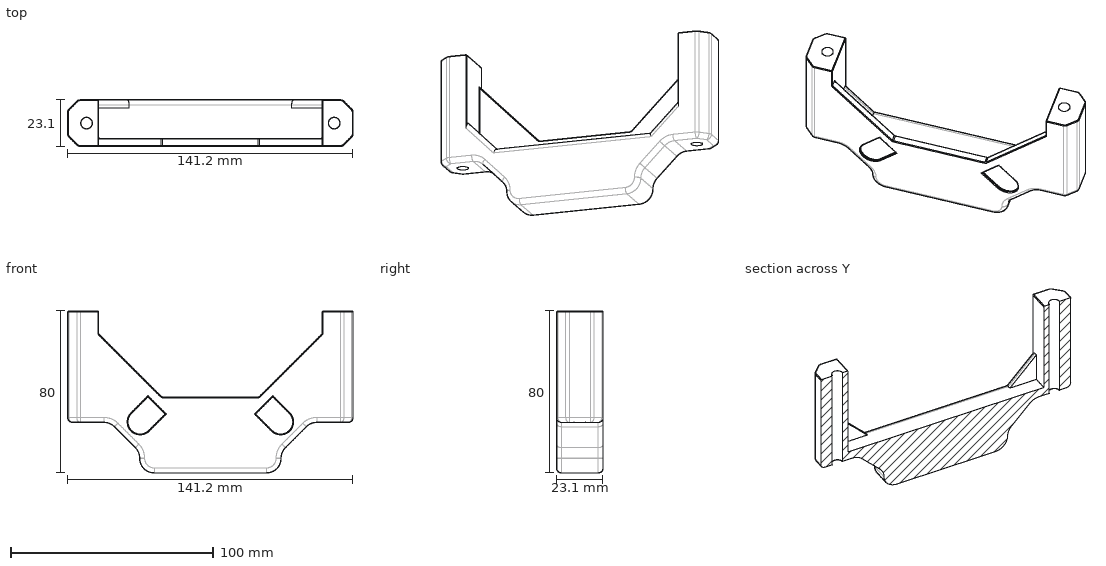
import cadquery as cq
length = 141.2
depth = 23.1
height = 80.0
half_length = length / 2
half_depth = depth / 2

post_width = 15.4
post_base_z = 25.0
post_corner_chamfer = 5.3
post_inner_x = half_length - post_width
hole_diameter = 5.6
hole_x = 61.2

belly_half_width = 35.0
belly_slope_start_x = 49.6
belly_slope_end_z = post_base_z - (belly_slope_start_x - belly_half_width)
belly_radius = 7.3
edge_radius = 2.5

channel_width = 15.0
channel_floor_z = 30.0
rib_run = 15.0
rib_inner_x = post_inner_x - rib_run
rib_top_z = channel_floor_z + rib_run

wall_thickness = (depth - channel_width) / 2
wall_top_z = 37.6
wall_inner_x = 24.0
wall_end_z = wall_top_z + post_inner_x - wall_inner_x
edge_chamfer = 0.4

plug_width = 12.0
plug_straight = 11.5
plug_tilt = 45
plug_end_x = 26.6
plug_end_z = 33.4
plug_recess = 1.0
slot_depth = 3.0
slot_chamfer = 0.4

reach = 1.0


def mirrored(right_half):
    """Close a half outline with its mirror image in X."""
    return right_half + [(-x, z) for x, z in reversed(right_half)]


def edges_between(body, lower, upper, direction=None):
    """Edges, optionally of one direction, whose centres lie in a box."""
    box = cq.selectors.BoxSelector(lower, upper)
    return body.edges(direction).edges(box)


def make_base():
    """Posts, belly and ribs as one profile, with rounded outer edges and no front wall."""
    outline = mirrored([
        (rib_inner_x, channel_floor_z),
        (post_inner_x, rib_top_z),
        (post_inner_x, height),
        (half_length, height),
        (half_length, post_base_z),
        (belly_slope_start_x, post_base_z),
        (belly_half_width, belly_slope_end_z),
        (belly_half_width, 0),
    ])
    base = cq.Workplane("XZ").polyline(outline).close().extrude(half_depth, both=True)

    belly_x = belly_slope_start_x + reach
    belly_edges = edges_between(
        base, (-belly_x, -reach, -reach), (belly_x, reach, post_base_z + reach), "|Y"
    )
    base = belly_edges.fillet(belly_radius)

    base = base.edges("|Z").edges("<X or >X").chamfer(post_corner_chamfer)
    blend_x = half_length - post_corner_chamfer - reach
    for side in (-1, 1):
        corner_edges = edges_between(
            base, (side * blend_x, -depth, post_base_z), (side * length, depth, height), "|Z"
        )
        base = corner_edges.fillet(edge_radius)

    base = base.faces("<Z").edges("<Y or >Y").fillet(edge_radius)

    rib_edges = edges_between(
        base,
        (-post_inner_x + reach, half_depth - reach, channel_floor_z - reach),
        (post_inner_x - reach, half_depth + reach, rib_top_z),
    )
    return rib_edges.fillet(edge_radius)


def make_channel():
    return cq.Workplane("XY", origin=(0, 0, channel_floor_z)).box(
        2 * post_inner_x, channel_width, height, centered=(True, True, False)
    )


def make_wall():
    outline = mirrored([
        (wall_inner_x, wall_top_z),
        (post_inner_x, wall_end_z),
        (post_inner_x, channel_floor_z),
    ])
    plane = cq.Workplane("XZ", origin=(0, -half_depth, 0))
    wall = plane.polyline(outline).close().extrude(-wall_thickness)

    crease_x = wall_inner_x + reach
    creases = edges_between(
        wall, (-crease_x, -depth, wall_top_z - reach), (crease_x, 0, wall_top_z + reach), "|Y"
    )
    return creases.chamfer(edge_chamfer)


def chamfer_upper_edges(body):
    """Break the wall's top edges, the post tops and the inner vertical post edges."""
    wall_edges = edges_between(
        body,
        (-post_inner_x + reach, -half_depth - reach, wall_top_z - reach),
        (post_inner_x - reach, reach - half_depth + wall_thickness, wall_end_z),
        "not |Y",
    )
    top_edges = body.faces(">Z").edges()
    post_edges = edges_between(
        body,
        (-post_inner_x - reach, -depth, rib_top_z),
        (post_inner_x + reach, depth, height - reach),
        "|Z",
    )
    chosen = wall_edges.vals() + top_edges.vals() + post_edges.vals()
    return body.newObject(chosen).chamfer(edge_chamfer)


def make_holes():
    centres = [(-hole_x, 0), (hole_x, 0)]
    return cq.Workplane("XY").pushPoints(centres).circle(hole_diameter / 2).extrude(height)


def slot_outline(margin, setback):
    """Slot with a square upper end and a round lower end, grown by margin, behind the front face."""
    radius = plug_width / 2 + margin
    return (
        cq.Workplane("XZ", origin=(0, setback, 0))
        .moveTo(-radius, margin)
        .lineTo(-radius, -plug_straight)
        .threePointArc((0, -plug_straight - radius), (radius, -plug_straight))
        .lineTo(radius, margin)
        .close()
    )


def place_on_front(body, side):
    """Tilt a slot shape outward and move it to the left (-1) or right (1) of the front face."""
    tilted = body.rotate((0, 0, 0), (0, 1, 0), -side * plug_tilt)
    return tilted.translate((side * plug_end_x, -half_depth, plug_end_z))


def make_slot(side):
    mouth = slot_outline(slot_chamfer, 0).extrude(-slot_chamfer, taper=45)
    return place_on_front(slot_outline(0, 0).extrude(-slot_depth).union(mouth), side)


def make_plug(side):
    plug = slot_outline(0, plug_recess).extrude(plug_recess - slot_depth)
    return place_on_front(plug, side)


bracket = make_base().cut(make_channel()).union(make_wall())
bracket = chamfer_upper_edges(bracket).cut(make_holes())

plugs = []
for side in (-1, 1):
    bracket = bracket.cut(make_slot(side))
    plugs.append(make_plug(side).val())

result = cq.Compound.makeCompound([bracket.val(), *plugs])